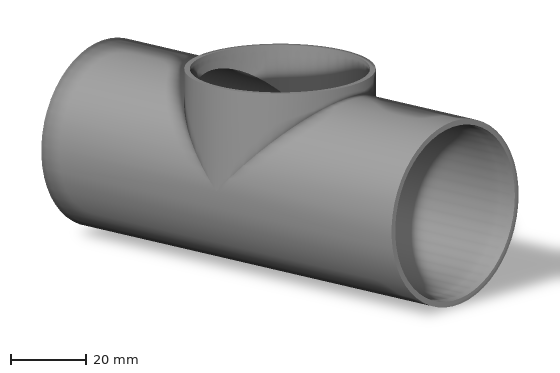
import cadquery as cq

outer_diameter = 50.8
wall_thickness = 1.5
run_length = 124.0
branch_height = 28.5

inner_diameter = outer_diameter - 2 * wall_thickness


def tee_volume(diameter):
    """Solid run and branch of one diameter, joined at the run axis."""
    run = cq.Workplane("YZ").circle(diameter / 2).extrude(run_length / 2, both=True)
    branch = cq.Workplane("XY").circle(diameter / 2).extrude(branch_height)
    return run.union(branch)


result = tee_volume(outer_diameter).cut(tee_volume(inner_diameter))